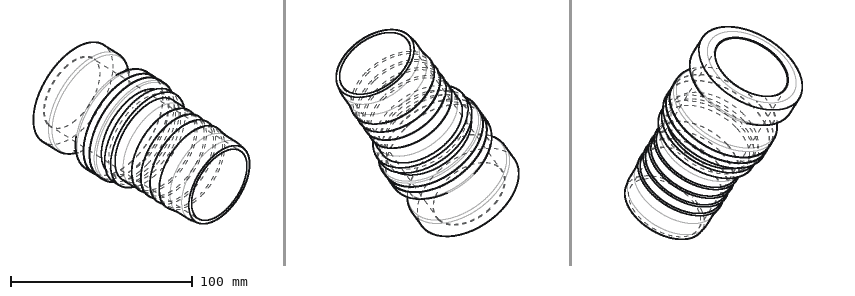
import cadquery as cq
import math

length = 113.0
bore_radius = 44.0 / 2
bore_chamfer = 0.3

body_radius = 63.0 / 2
mouth_radius = 54.0 / 2
mouth_bevel_length = 1.1

cam_center_x = 23.5
cam_radius = 11.3
cam_bottom_radius = 26.1
cam_blend = 2.3

band_start = 39.4
band_end = 44.1
band_radius = 62.5 / 2
collar_end = 48.4
collar_round = 0.8

neck_radius = 53.0 / 2
flange_start = 53.8
flange_end = 58.3
flange_radius = 59.0 / 2

crest_radius = 52.0 / 2
tail_radius = 50.0 / 2
first_taper_start = 64.3
barb_count = 4
barb_pitch = 7.0
first_crest = 71.0
barb_rise = 0.7
valley_width = 0.3
last_taper_end = 99.2
tip_taper_start = 108.1
tip_radius = 24.2


def add_cam_groove(profile):
    """Add the cam groove and its two convex blends to the outline."""
    arc_center_r = cam_bottom_radius + cam_radius
    blend_center_r = body_radius - cam_blend
    center_distance = cam_radius + cam_blend
    rise = arc_center_r - blend_center_r
    reach = math.sqrt(center_distance**2 - rise**2)
    blend_angle = math.asin(reach / center_distance)
    touch_offset = cam_radius * math.sin(blend_angle)
    touch_r = arc_center_r - cam_radius * math.cos(blend_angle)
    mid_offset = reach - cam_blend * math.sin(blend_angle / 2)
    mid_r = blend_center_r + cam_blend * math.cos(blend_angle / 2)
    return (
        profile.lineTo(cam_center_x - reach, body_radius)
        .threePointArc((cam_center_x - mid_offset, mid_r), (cam_center_x - touch_offset, touch_r))
        .threePointArc((cam_center_x, cam_bottom_radius), (cam_center_x + touch_offset, touch_r))
        .threePointArc((cam_center_x + mid_offset, mid_r), (cam_center_x + reach, body_radius))
    )


def add_collar(profile):
    """Add the collar, its shallow band and its rounded rear edge."""
    round_start = collar_end - collar_round
    round_center_r = body_radius - collar_round
    diagonal = collar_round * math.sqrt(0.5)
    return (
        profile.lineTo(band_start, body_radius)
        .lineTo(band_start, band_radius)
        .lineTo(band_end, band_radius)
        .lineTo(band_end, body_radius)
        .lineTo(round_start, body_radius)
        .threePointArc((round_start + diagonal, round_center_r + diagonal), (collar_end, round_center_r))
        .lineTo(collar_end, neck_radius)
    )


def add_flange(profile):
    """Add the neck and the flange behind it."""
    return (
        profile.lineTo(flange_start, neck_radius)
        .lineTo(flange_start, flange_radius)
        .lineTo(flange_end, flange_radius)
        .lineTo(flange_end, crest_radius)
    )


def add_hose_tail(profile):
    """Add the barbs and the tapered tip."""
    profile = profile.lineTo(first_taper_start, crest_radius)
    for i in range(barb_count):
        crest_x = first_crest + i * barb_pitch
        valley_end = crest_x - barb_rise
        profile = (
            profile.lineTo(valley_end - valley_width, tail_radius)
            .lineTo(valley_end, tail_radius)
            .lineTo(crest_x, crest_radius)
        )
    return (
        profile.lineTo(last_taper_end, tail_radius)
        .lineTo(tip_taper_start, tail_radius)
        .lineTo(length, tip_radius)
    )


section = (
    cq.Workplane("XY")
    .moveTo(0, bore_radius + bore_chamfer)
    .lineTo(0, mouth_radius)
    .lineTo(mouth_bevel_length, body_radius)
)
section = add_cam_groove(section)
section = add_collar(section)
section = add_flange(section)
section = add_hose_tail(section)
section = section.lineTo(length, bore_radius).lineTo(bore_chamfer, bore_radius).close()

result = section.revolve(360, (0, 0, 0), (1, 0, 0))